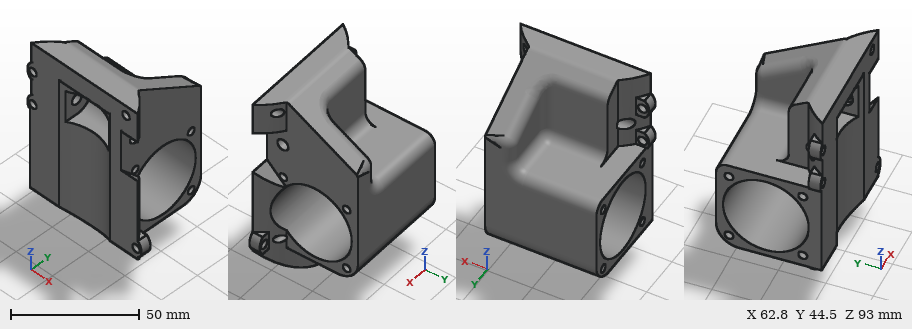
import cadquery as cq
import math

width = 62.8
depth = 44.5
top_z = 77.0
edge_radius = 5.0

column_radius = 34.8
skirt_drop = 16.0
column_axis_y = skirt_drop - column_radius
column_half_width = math.sqrt(column_radius**2 - column_axis_y**2)

box_left_x = -30.0
box_right_x = 20.0
box_height = 42.0
box_bottom_radius = 10.0
tower_half_width = box_right_x

roof_start_y = 10.0
roof_angle = 30

front_wall_back_y = 17.95
right_wall_inner_x = 8.0
corner_chamfer = 0.6

fan_y = 23.5
fan_z = 20.8
fan_bore_radius = 18.0
fan_screw_spacing = 31.1
fan_screw_radius = 3.6 / 2

groove_radius = 23.25
groove_half_width = 14.1
groove_top_z = 66.95

window_half_width = 11.9
window_radius = 8.0
shaft_y = 7.8
shaft_z = 53.4
shaft_hole_radius = 5.3 / 2
recess_radius = 4.0
recess_depth = 2.0

ear_half_height = 4.5
ear_bulge = width / 2 - column_half_width
ear_thickness = 5.0
mount_hole_radius = 4.0 / 2
ear_hole_x = 28.4
left_ear_heights = (62.0, 44.9)
right_ear_height = 5.3
plain_hole_x = 22.8
plain_hole_z = 72.0

notch_bottom_z = 41.4
notch_top_z = 61.9

clearance = 93

roof_slope = math.tan(math.radians(roof_angle))
roof_back_z = top_z - (depth - roof_start_y) * roof_slope


def block(x_range, y_range, z_range):
    """Axis-aligned block between the given limits."""
    size = [high - low for low, high in (x_range, y_range, z_range)]
    corner = (x_range[0], y_range[0], z_range[0])
    return cq.Workplane("XY").box(*size, centered=False).translate(corner)


def rod_along_x(radius, y, z, x_start, x_end):
    """Round rod parallel to X between two X positions."""
    return cq.Workplane("YZ", origin=(x_start, y, z)).circle(radius).extrude(x_end - x_start)


def rod_along_y(radius, x, z, length):
    """Round rod running back from the front face."""
    return cq.Workplane("XZ", origin=(x, 0, z)).circle(radius).extrude(-length)


def column():
    cylinder = (
        cq.Workplane("XY", origin=(0, column_axis_y, -skirt_drop))
        .circle(column_radius)
        .extrude(top_z + skirt_drop)
    )
    limits = block(
        (-column_half_width, column_half_width), (0, depth), (-skirt_drop, top_z)
    )
    return cylinder.intersect(limits)


def side_envelope():
    """Side outline shared by the whole body: 45-degree skirt below, sloping roof above."""
    outline = [
        (0, 0),
        (skirt_drop, -skirt_drop),
        (depth, -skirt_drop),
        (depth, roof_back_z),
        (roof_start_y, top_z),
        (0, top_z),
    ]
    solid = (
        cq.Workplane("YZ", origin=(-clearance, 0, 0)).polyline(outline).close().extrude(2 * clearance)
    )
    roof_edges = [(0, roof_start_y, top_z), (0, depth, roof_back_z)]
    for point in roof_edges:
        solid = solid.edges(cq.NearestToPointSelector(point)).fillet(edge_radius)
    return solid


def recess_cutter():
    """Space behind the tower walls, with its inner corner rounded."""
    cutter = block(
        (-clearance, right_wall_inner_x), (front_wall_back_y, clearance), (box_height, clearance)
    )
    corner_edges = cutter.edges(">X and <Y").add(cutter.faces("<Z").edges(">X or <Y"))
    return corner_edges.fillet(edge_radius)


def body():
    box = block((box_left_x, box_right_x), (0, depth), (0, box_height))
    tower = block((-tower_half_width, tower_half_width), (0, depth), (0, top_z))
    solid = box.union(tower).edges("|X and >Y and <Z").fillet(box_bottom_radius)
    return solid.union(column()).intersect(side_envelope()).cut(recess_cutter())


def round_recess_rim(solid):
    """Round the rim where the recess meets the roof and the back; the fillet follows its tangents."""
    rim_z = box_height + edge_radius
    rim_point = (right_wall_inner_x, depth, (rim_z + roof_back_z) / 2)
    return solid.edges(cq.NearestToPointSelector(rim_point)).fillet(edge_radius)


def roof_corner():
    """Wedge that brings the rounded roof end of the right wall back to a nearly sharp corner."""
    setback = edge_radius * math.tan(math.radians(90 - roof_angle) / 2)
    start_x = right_wall_inner_x + edge_radius

    def roof_point(x, distance):
        """Point on the roof, a given distance up from its back edge."""
        angle = math.radians(roof_angle)
        y = depth - distance * math.cos(angle)
        return cq.Vector(x, y, roof_back_z + distance * math.sin(angle))

    roof_start = roof_point(start_x, setback)
    back_start = cq.Vector(start_x, depth, roof_back_z - setback)
    roof_end = roof_point(tower_half_width, corner_chamfer)

    profile = [(p.y, p.z) for p in (roof_start, roof_point(start_x, 0), back_start)]
    wedge = (
        cq.Workplane("YZ", origin=(start_x, 0, 0))
        .polyline(profile)
        .close()
        .extrude(tower_half_width - start_x)
    )
    across = back_start - roof_start
    outward = (roof_end - roof_start).cross(across)
    chamfer_plane = cq.Plane(origin=roof_start, xDir=across, normal=outward)
    return wedge.cut(cq.Workplane(chamfer_plane).rect(depth, depth).extrude(depth))


def ear(side, z):
    """Screw ear bulging past the column; side is -1 for left, 1 for right."""
    inner_x = side * tower_half_width
    edge_x = side * column_half_width
    return (
        cq.Workplane("XZ")
        .moveTo(inner_x, z - ear_half_height)
        .lineTo(edge_x, z - ear_half_height)
        .threePointArc((edge_x + side * ear_bulge, z), (edge_x, z + ear_half_height))
        .lineTo(inner_x, z + ear_half_height)
        .close()
        .extrude(-ear_thickness)
    )


def notch_cutter():
    """Side notch whose floor falls away backwards at 45 degrees."""
    outline = [
        (0, notch_bottom_z),
        (depth, notch_bottom_z - depth),
        (depth, notch_top_z),
        (0, notch_top_z),
    ]
    return (
        cq.Workplane("YZ", origin=(box_right_x, 0, 0)).polyline(outline).close().extrude(clearance)
    )


def groove_cutter():
    axis_y = -math.sqrt(groove_radius**2 - groove_half_width**2)
    return (
        cq.Workplane("XY", origin=(0, axis_y, -clearance))
        .circle(groove_radius)
        .extrude(clearance + groove_top_z)
    )


def window_cutter():
    window = block(
        (-window_half_width, window_half_width),
        (0, shaft_y),
        (shaft_z - window_radius, shaft_z + window_radius),
    )
    back = rod_along_x(window_radius, shaft_y, shaft_z, -window_half_width, window_half_width)
    shaft = rod_along_x(shaft_hole_radius, shaft_y, shaft_z, -clearance, clearance)
    recess = rod_along_x(
        recess_radius, shaft_y, shaft_z, window_half_width, window_half_width + recess_depth
    )
    return window.union(back).union(shaft).union(recess)


def fan_cutter():
    cutter = rod_along_x(fan_bore_radius, fan_y, fan_z, -clearance, clearance)
    offset = fan_screw_spacing / 2
    for y in (fan_y - offset, fan_y + offset):
        for z in (fan_z - offset, fan_z + offset):
            cutter = cutter.union(rod_along_x(fan_screw_radius, y, z, -clearance, clearance))
    return cutter


ears = [(-1, z) for z in left_ear_heights] + [(1, right_ear_height)]
mount_holes = [(side * ear_hole_x, z) for side, z in ears] + [(plain_hole_x, plain_hole_z)]
fan_face_clearance = block((-clearance, box_left_x), (0, depth), (0, box_height))
cutters = (fan_face_clearance, notch_cutter(), groove_cutter(), window_cutter(), fan_cutter())

result = round_recess_rim(body()).union(roof_corner())
for side, z in ears:
    result = result.union(ear(side, z))
for cutter in cutters:
    result = result.cut(cutter)
for x, z in mount_holes:
    result = result.cut(rod_along_y(mount_hole_radius, x, z, depth))